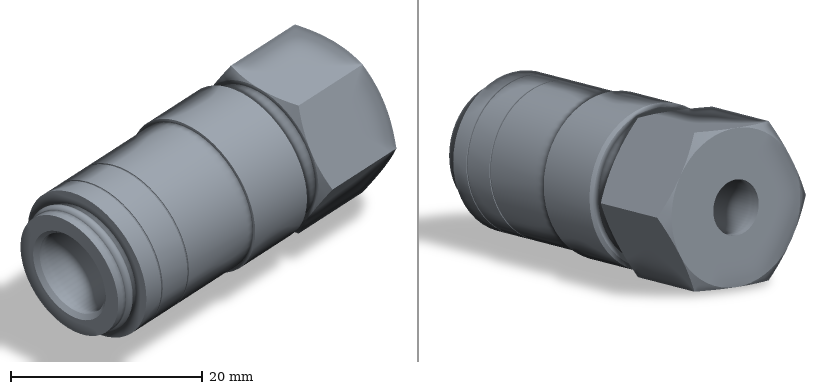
import cadquery as cq
import math

total_length = 40.0

hex_across_flats = 17.0
hex_length = 11.2
hex_chamfer_angle = 30.0

nose_radius = 7.1
nose_length = 2.7
sleeve_radius = 8.6
collar_front = 18.7
collar_rear = 26.85
collar_radius = 9.0
collar_chamfer_radial = 0.4
collar_chamfer_axial = 0.3
neck_radius = 8.05

bead_section_radius = 0.55
bead_outer_radius = 7.45
bead_center = 1.6

groove_width = 0.25
groove_depth = 0.1
groove_starts = (4.9, 8.9)

socket_radius = 4.75
socket_mouth_radius = 5.25
socket_mouth_depth = 0.5
socket_depth = 10.0
through_radius = 3.0


def revolve_outline(points):
    """Revolve a closed outline of (radius, y) points about the Y axis."""
    return cq.Workplane("XY").polyline(points).close().revolve(360, (0, 0, 0), (0, 1, 0))


def ring(inner_radius, outer_radius, start, width):
    """Plain ring around the Y axis."""
    return revolve_outline([
        (inner_radius, start),
        (outer_radius, start),
        (outer_radius, start + width),
        (inner_radius, start + width),
    ])


def make_hex_nut():
    """Hexagon with both ends turned to a cone that just meets the flats."""
    flat_radius = hex_across_flats / 2
    corner_radius = flat_radius / math.cos(math.radians(30))
    hex_front = total_length - hex_length
    prism = (
        cq.Workplane("XZ", origin=(0, total_length, 0))
        .polygon(6, 2 * corner_radius)
        .extrude(hex_length)
    )
    envelope_radius = corner_radius + 0.4
    cone_length = (envelope_radius - flat_radius) * math.tan(math.radians(hex_chamfer_angle))
    envelope = revolve_outline([
        (0, hex_front),
        (flat_radius, hex_front),
        (envelope_radius, hex_front + cone_length),
        (envelope_radius, total_length - cone_length),
        (flat_radius, total_length),
        (0, total_length),
    ])
    return prism.intersect(envelope)


def make_body():
    """Nose, sleeve, chamfered collar and neck, running into the nut."""
    hex_front = total_length - hex_length
    return revolve_outline([
        (0, 0),
        (nose_radius, 0),
        (nose_radius, nose_length),
        (sleeve_radius, nose_length),
        (sleeve_radius, collar_front),
        (collar_radius, collar_front),
        (collar_radius, collar_rear - collar_chamfer_axial),
        (collar_radius - collar_chamfer_radial, collar_rear),
        (neck_radius, collar_rear),
        (neck_radius, hex_front),
        (0, hex_front),
    ])


def make_bead():
    """Round-section ring partly sunk in the nose."""
    return (
        cq.Workplane("XY")
        .center(bead_outer_radius - bead_section_radius, bead_center)
        .circle(bead_section_radius)
        .revolve(360, (bead_section_radius - bead_outer_radius, 0, 0),
                 (bead_section_radius - bead_outer_radius, 1, 0))
    )


def make_bore():
    """Socket with a tapered mouth, followed by the through hole."""
    return revolve_outline([
        (0, 0),
        (socket_mouth_radius, 0),
        (socket_radius, socket_mouth_depth),
        (socket_radius, socket_depth),
        (through_radius, socket_depth),
        (through_radius, total_length),
        (0, total_length),
    ])


result = make_body().union(make_hex_nut()).union(make_bead())
for groove_start in groove_starts:
    result = result.cut(ring(sleeve_radius - groove_depth, collar_radius, groove_start, groove_width))
result = result.cut(make_bore())